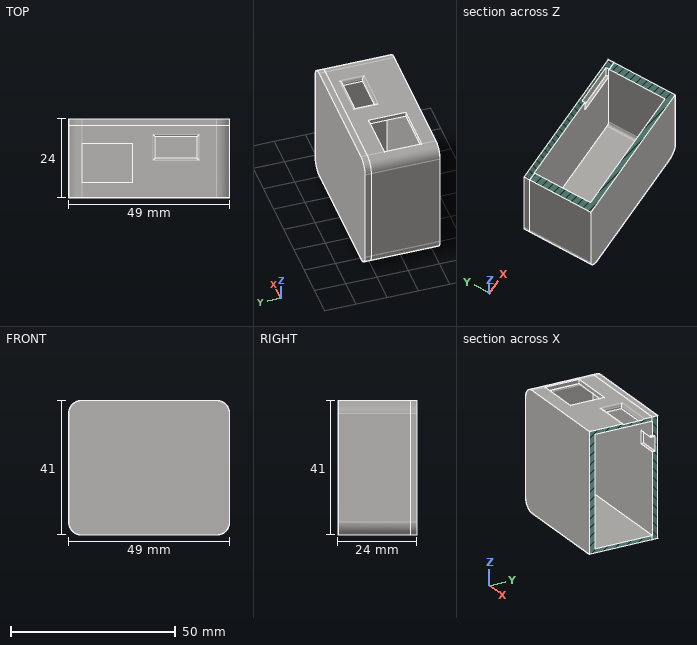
import cadquery as cq

width = 49.0
depth = 24.0
height = 41.0
corner_radius = 4.0
side_wall = 3.0
top_wall = 1.5
front_wall = 2.0
lid_thickness = 2.0

housing_depth = depth - lid_thickness
inner_width = width - 2 * side_wall
inner_height = height - 2 * top_wall
inner_radius = corner_radius - side_wall

window_length = 15.5
window_width = 11.9
window_x = corner_radius
window_y = 4.6

port_length = 14.05
port_width = 7.9
port_x = 25.7
port_y = 11.35
port_edge_radius = 0.7

recess_depth = 1.0
recess_left = 32.35
recess_step_x = 38.3
recess_right = width - side_wall
recess_bottom = 29.4
recess_low_top = 33.8
recess_high_top = 34.45


def rounded_block(length, block_height, y_start, y_end, radius):
    """Block along Y, centred on the box axis, with its four long edges rounded."""
    return (
        cq.Workplane("XY")
        .box(length, y_end - y_start, block_height)
        .edges("|Y")
        .fillet(radius)
        .translate((width / 2, (y_start + y_end) / 2, height / 2))
    )


def top_cutter(x_start, y_start, length, cutter_width):
    """Block that passes through the thickness of the top wall."""
    return cq.Workplane("XY").box(length, cutter_width, top_wall, centered=False).translate(
        (x_start, y_start, height - top_wall)
    )


def make_housing():
    shell = rounded_block(width, height, 0, housing_depth, corner_radius)
    cavity = rounded_block(inner_width, inner_height, front_wall, housing_depth, inner_radius)
    window = top_cutter(window_x, window_y, window_length, window_width)
    port = top_cutter(
        port_x + port_edge_radius,
        port_y + port_edge_radius,
        port_length - 2 * port_edge_radius,
        port_width - 2 * port_edge_radius,
    )
    port_edges = cq.selectors.BoxSelector(
        (port_x, port_y, height - port_edge_radius / 2),
        (port_x + port_length, port_y + port_width, height + port_edge_radius / 2),
    )
    body = shell.cut(cavity).cut(window).cut(port)
    return body.edges("#Z").edges(port_edges).fillet(port_edge_radius)


def make_lid():
    plate = rounded_block(width, height, housing_depth, depth, corner_radius)
    recess = (
        cq.Workplane("XZ", origin=(0, housing_depth, 0))
        .moveTo(recess_left, recess_bottom)
        .lineTo(recess_right, recess_bottom)
        .lineTo(recess_right, recess_high_top)
        .lineTo(recess_step_x, recess_high_top)
        .lineTo(recess_step_x, recess_low_top)
        .lineTo(recess_left, recess_low_top)
        .close()
        .extrude(-recess_depth)
    )
    return plate.cut(recess)


housing = make_housing()
lid = make_lid()

result = cq.Compound.makeCompound([housing.val(), lid.val()])